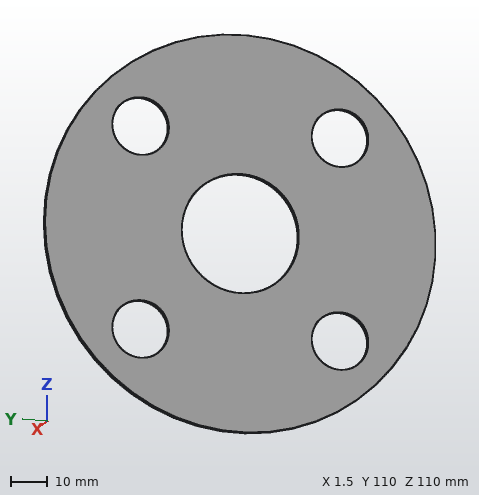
import cadquery as cq

outer_diameter = 110.0
thickness = 1.5
bore_diameter = 33.0
bolt_hole_diameter = 16.0
bolt_circle_diameter = 79.4
bolt_hole_count = 4
first_hole_angle = 180.0 / bolt_hole_count

disc = (
    cq.Workplane("YZ")
    .circle(outer_diameter / 2)
    .circle(bore_diameter / 2)
    .extrude(thickness)
)

bolt_holes = (
    cq.Workplane("YZ")
    .polarArray(bolt_circle_diameter / 2, first_hole_angle, 360, bolt_hole_count)
    .circle(bolt_hole_diameter / 2)
    .extrude(thickness)
)

result = disc.cut(bolt_holes)